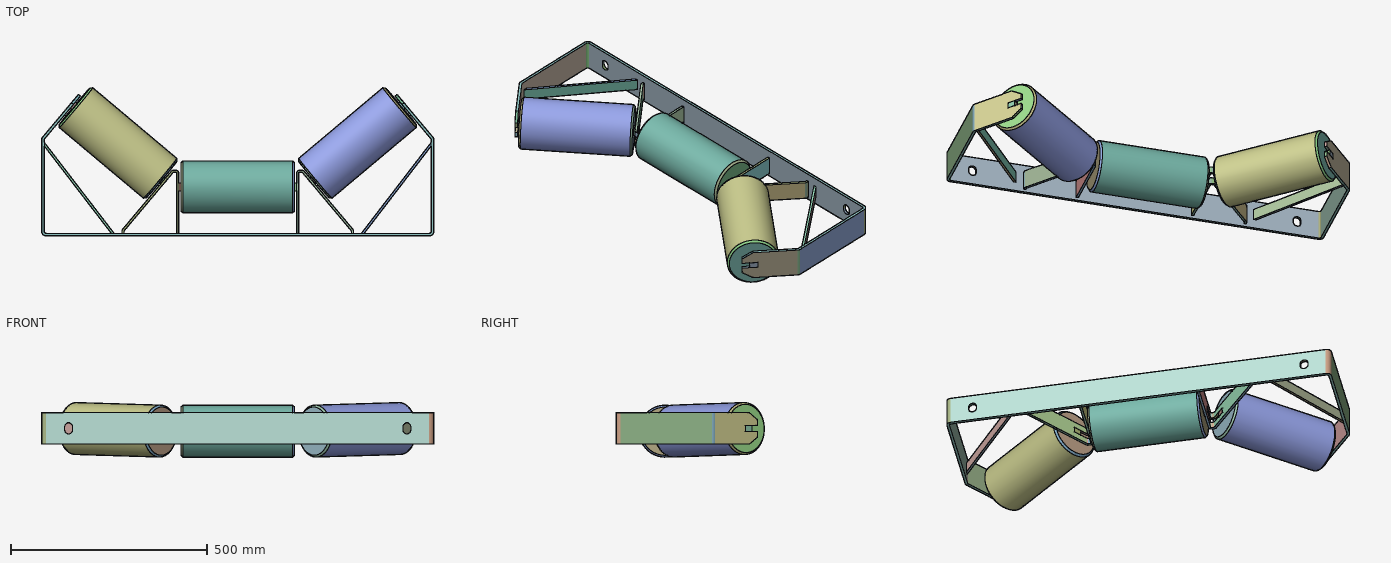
import cadquery as cq
import math

FRAME_LENGTH = 1000.0
FRAME_HEIGHT = 80.0
FRAME_THICKNESS = 7.0
FRAME_BEND_RADIUS = 12.0
ARM_TIP_REACH = 30.0
ARM_TIP_BEVEL_LENGTH = 28.0
ARM_TIP_BEVEL_HEIGHT = 18.0

MOUNT_SLOT_WIDTH = 20.0
MOUNT_SLOT_LENGTH = 28.0
MOUNT_SLOT_EDGE_DISTANCE = 69.0

TROUGH_ANGLE = 40.0
ROLLER_DIAMETER = 133.0
ROLLER_LENGTH = 290.0
ROLLER_EDGE_CHAMFER = 5.0
SUPPORT_GAP = 300.0
SHAFT_WIDTH = 21.0
SHAFT_HEIGHT = 15.0

CENTER_ROLLER_Y = 125.0
SIDE_ROLLER_X = 305.0
SIDE_ROLLER_Y = 237.0
ROLLER_DROP = 7.0

BRACKET_THICKNESS = 6.0
BRACKET_HEIGHT = 50.0
BRACKET_TOP_Y = 168.0
BRACKET_FOOT_Y = 15.0
BRACKET_BEND_RADIUS = 8.0

BRACE_THICKNESS = 6.0
BRACE_HEIGHT = 30.0
BRACE_OUTER_Y = 239.0
BRACE_FOOT_X = 315.0

HALF_LENGTH = FRAME_LENGTH / 2
COS_TROUGH = math.cos(math.radians(TROUGH_ANGLE))
SIN_TROUGH = math.sin(math.radians(TROUGH_ANGLE))
TAN_TROUGH = SIN_TROUGH / COS_TROUGH
SIDE_TILT = math.degrees(math.asin(ROLLER_DROP / SUPPORT_GAP))
SIDE_ROLLER_Z = -ROLLER_DROP / 2
SLOT_OVERRUN = 4 * FRAME_THICKNESS
SLOT_OPENING = ARM_TIP_REACH + SHAFT_WIDTH


def side_axis_point(distance):
    """Point on the right side roller axis, measured outward from the roller middle."""
    return (SIDE_ROLLER_X + distance * COS_TROUGH, SIDE_ROLLER_Y + distance * SIN_TROUGH)


def offset_left(path, distance):
    """Shift an open path sideways, to the left of its direction, with mitred corners."""
    angles = [math.atan2(b[1] - a[1], b[0] - a[0]) for a, b in zip(path, path[1:])]
    before = angles[:1] + angles
    after = angles + angles[-1:]
    shifted = []
    for (x, y), start, end in zip(path, before, after):
        normal = (start + end) / 2 + math.pi / 2
        reach = distance / math.cos((end - start) / 2)
        shifted.append((x + reach * math.cos(normal), y + reach * math.sin(normal)))
    return shifted


def bent_strip(path, thickness, height, bend_radius):
    """Flat bar on edge: its outer face follows the path, the bends keep one thickness."""
    inner = offset_left(path, thickness)
    strip = (
        cq.Workplane("XY")
        .polyline(path + inner[::-1])
        .close()
        .extrude(height / 2, both=True)
    )
    for corners, radius in ((path, bend_radius), (inner, bend_radius - thickness)):
        for x, y in corners[1:-1]:
            strip = strip.edges(cq.selectors.NearestToPointSelector((x, y, 0))).fillet(radius)
    return strip


def mirrored(body):
    return body.mirror("YZ")


def place_right(body):
    """Move a body from the X axis onto the tilted axis of the right side roller."""
    return (
        body.rotate((0, 0, 0), (0, 1, 0), -SIDE_TILT)
        .rotate((0, 0, 0), (0, 0, 1), TROUGH_ANGLE)
        .translate((SIDE_ROLLER_X, SIDE_ROLLER_Y, SIDE_ROLLER_Z))
    )


def place_center(body):
    return body.translate((0, CENTER_ROLLER_Y, -ROLLER_DROP))


def make_roller(inner_support, outer_support):
    """Roller on the X axis; its shaft ends are flush with the far faces of the supports."""
    left = SUPPORT_GAP / 2 + inner_support
    right = SUPPORT_GAP / 2 + outer_support
    shell = (
        cq.Workplane("YZ", origin=(-ROLLER_LENGTH / 2, 0, 0))
        .circle(ROLLER_DIAMETER / 2)
        .extrude(ROLLER_LENGTH)
        .faces("<X or >X")
        .edges()
        .chamfer(ROLLER_EDGE_CHAMFER)
    )
    shaft = cq.Workplane("XY").box(left + right, SHAFT_WIDTH, SHAFT_HEIGHT)
    return shell.union(shaft.translate(((right - left) / 2, 0, 0)))


def make_shaft_slots():
    """Cutter for the slots at both ends of a roller on the X axis, open toward +Y."""
    run = SUPPORT_GAP + SLOT_OVERRUN
    depth = SHAFT_WIDTH + SLOT_OPENING
    slot = cq.Workplane("XY").box(run, depth, SHAFT_HEIGHT)
    return slot.translate((0, SLOT_OPENING / 2, 0))


center_roller = place_center(make_roller(BRACKET_THICKNESS, BRACKET_THICKNESS))
right_roller = place_right(make_roller(BRACKET_THICKNESS, FRAME_THICKNESS))
left_roller = mirrored(right_roller)

center_slots = place_center(make_shaft_slots())
right_slots = place_right(make_shaft_slots())
left_slots = mirrored(right_slots)


def arm_tip_bevels():
    """Cutters for the top and bottom corners of the right arm, in the side roller's axes."""
    half = FRAME_HEIGHT / 2
    top = (
        cq.Workplane("YZ")
        .moveTo(ARM_TIP_REACH, half)
        .lineTo(ARM_TIP_REACH - ARM_TIP_BEVEL_LENGTH, half)
        .lineTo(ARM_TIP_REACH, half - ARM_TIP_BEVEL_HEIGHT)
        .close()
        .extrude(SUPPORT_GAP)
    )
    both = top.union(top.mirror("XY"))
    return both.rotate((0, 0, 0), (0, 0, 1), TROUGH_ANGLE).translate((SIDE_ROLLER_X, SIDE_ROLLER_Y, 0))


def make_frame():
    arm_x, arm_y = side_axis_point(SUPPORT_GAP / 2 + FRAME_THICKNESS)
    tip = (arm_x - ARM_TIP_REACH * SIN_TROUGH, arm_y + ARM_TIP_REACH * COS_TROUGH)
    arm_bend = (HALF_LENGTH, arm_y - (HALF_LENGTH - arm_x) / TAN_TROUGH)
    right_half = [(HALF_LENGTH, 0), arm_bend, tip]
    left_half = [(-x, y) for x, y in reversed(right_half)]
    frame = bent_strip(left_half + right_half, FRAME_THICKNESS, FRAME_HEIGHT, FRAME_BEND_RADIUS)
    mount_x = HALF_LENGTH - MOUNT_SLOT_EDGE_DISTANCE
    mount_slots = (
        cq.Workplane("XZ")
        .pushPoints([(-mount_x, 0), (mount_x, 0)])
        .slot2D(MOUNT_SLOT_LENGTH, MOUNT_SLOT_WIDTH, 90)
        .extrude(-FRAME_THICKNESS)
    )
    bevels = arm_tip_bevels()
    frame = frame.cut(mount_slots).cut(bevels).cut(mirrored(bevels))
    return frame.cut(right_slots).cut(left_slots)


frame = make_frame()


def make_bracket():
    leg_x = SUPPORT_GAP / 2
    face_x, face_y = side_axis_point(-SUPPORT_GAP / 2)
    top_bend = (face_x - (BRACKET_TOP_Y - face_y) * TAN_TROUGH, BRACKET_TOP_Y)
    foot_x = face_x + (face_y - BRACKET_FOOT_Y) * TAN_TROUGH
    path = [
        (foot_x, FRAME_THICKNESS),
        (foot_x, BRACKET_FOOT_Y),
        top_bend,
        (leg_x, BRACKET_TOP_Y),
        (leg_x, FRAME_THICKNESS),
    ]
    bracket = bent_strip(path, BRACKET_THICKNESS, BRACKET_HEIGHT, BRACKET_BEND_RADIUS)
    return bracket.translate((0, 0, -ROLLER_DROP)).cut(center_slots).cut(right_slots)


right_bracket = make_bracket()
left_bracket = mirrored(right_bracket)


def make_brace():
    outer_x = HALF_LENGTH - FRAME_THICKNESS
    slope = math.atan2(BRACE_OUTER_Y - FRAME_THICKNESS, outer_x - BRACE_FOOT_X)
    foot_width = BRACE_THICKNESS / math.sin(slope)
    side_width = BRACE_THICKNESS / math.cos(slope)
    return (
        cq.Workplane("XY")
        .moveTo(BRACE_FOOT_X, FRAME_THICKNESS)
        .lineTo(BRACE_FOOT_X + foot_width, FRAME_THICKNESS)
        .lineTo(outer_x, BRACE_OUTER_Y - side_width)
        .lineTo(outer_x, BRACE_OUTER_Y)
        .close()
        .extrude(BRACE_HEIGHT / 2, both=True)
    )


right_brace = make_brace()
left_brace = mirrored(right_brace)

bodies = [
    frame,
    center_roller,
    right_roller,
    left_roller,
    right_bracket,
    left_bracket,
    right_brace,
    left_brace,
]
result = cq.Compound.makeCompound([body.solids().val() for body in bodies])